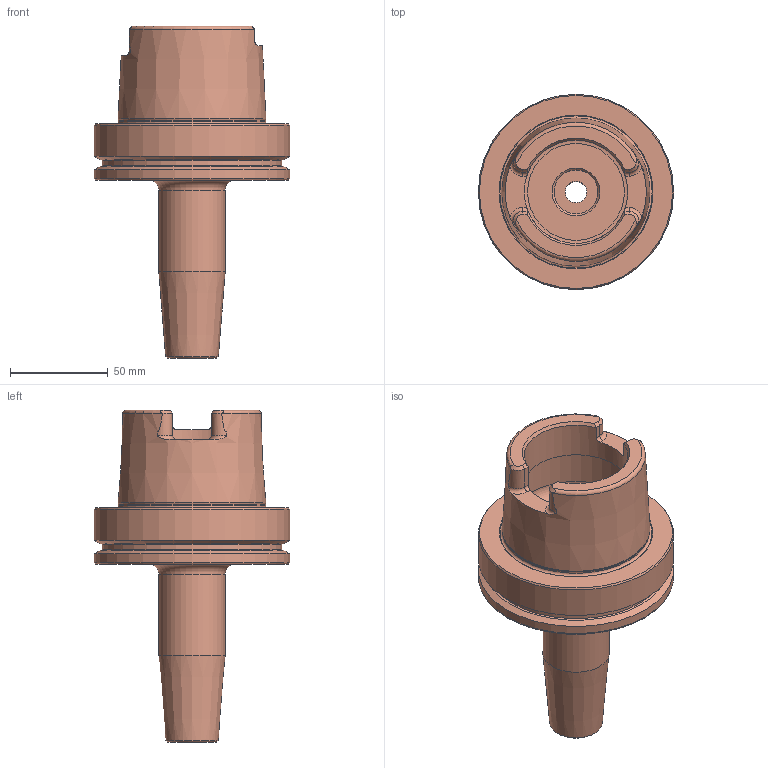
import cadquery as cq
import math


flange_diameter = 100.0
flange_thickness = 29.0
flange_chamfer_height = 0.9
flange_chamfer_depth = 0.55
groove_diameter = 92.0
groove_center_z = -20.2
groove_floor_width = 2.8
groove_ledge_width = 3.4
groove_ledge_diameter = 94.0
groove_wall_angle = 30.0

taper_length = 50.0
taper_gauge_diameter = 75.0
taper_gauge_z = 10.0
taper_diameter_per_length = 0.1
taper_start_z = 2.4
neck_diameter = 75.36
neck_top_z = 1.7
neck_fillet = 1.3
face_relief_depth = 0.3
face_relief_run_out = 0.4
rim_fillet = 1.75

mouth_diameter = 53.0
mouth_chamfer_width = 1.0
mouth_chamfer_height = 1.6
mouth_length = 20.1
clamp_diameter = 63.0
clamp_cone_angle = 60.0
cavity_floor_z = 3.0
cavity_floor_fillet = 6.7

tube_hole_diameter = 22.5
tube_hole_depth = 20.0
tube_hole_chamfer = 1.0
bore_diameter = 11.0

nose_length = 120.0
nose_diameter = 34.0
nose_root_fillet = 5.0
nose_cone_start_z = -75.7
nose_tip_diameter = 27.0
nose_tip_chamfer = 0.7

slot_width = 20.0
slot_deep = 15.0
slot_shallow = 10.0
slot_shoulder_x = 32.2
slot_corner_radius = 5.0
slot_floor_fillet = 2.0
slot_rim_chamfer_height = 1.6
slot_rim_chamfer_width = 1.5

ARC_MID_REACH = math.sqrt(0.5)
ARC_MID_OFFSET = 1 - ARC_MID_REACH


def taper_radius(z):
    """Radius of the shank taper at height z."""
    return (taper_gauge_diameter - (z - taper_gauge_z) * taper_diameter_per_length) / 2


def make_body():
    """Revolved outside shape: taper shank, flange and tool nose."""
    flange_r = flange_diameter / 2
    groove_r = groove_diameter / 2
    ledge_r = groove_ledge_diameter / 2
    rim_r = taper_radius(taper_length)
    rim_inset = rim_fillet * ARC_MID_OFFSET
    neck_r = neck_diameter / 2
    neck_inset = neck_fillet * ARC_MID_OFFSET
    nose_r = nose_diameter / 2
    root_inset = nose_root_fillet * ARC_MID_OFFSET
    tip_r = nose_tip_diameter / 2
    flange_bottom = -flange_thickness
    half_floor = groove_floor_width / 2
    half_ledge = groove_ledge_width / 2
    half_mouth = half_ledge + (flange_r - ledge_r) * math.tan(math.radians(groove_wall_angle))
    profile = (
        cq.Workplane("XZ")
        .moveTo(0, taper_length)
        .lineTo(rim_r - rim_fillet, taper_length)
        .threePointArc(
            (rim_r - rim_inset, taper_length - rim_inset),
            (taper_radius(taper_length - rim_fillet), taper_length - rim_fillet),
        )
        .lineTo(taper_radius(taper_start_z), taper_start_z)
        .lineTo(neck_r, neck_top_z)
        .lineTo(neck_r, neck_fillet - face_relief_depth)
        .threePointArc(
            (neck_r + neck_inset, neck_inset - face_relief_depth),
            (neck_r + neck_fillet, -face_relief_depth),
        )
        .lineTo(neck_r + neck_fillet + face_relief_run_out, 0)
        .lineTo(flange_r - flange_chamfer_depth, 0)
        .lineTo(flange_r, -flange_chamfer_height)
        .lineTo(flange_r, groove_center_z + half_mouth)
        .lineTo(ledge_r, groove_center_z + half_ledge)
        .lineTo(groove_r, groove_center_z + half_floor)
        .lineTo(groove_r, groove_center_z - half_floor)
        .lineTo(ledge_r, groove_center_z - half_ledge)
        .lineTo(flange_r, groove_center_z - half_mouth)
        .lineTo(flange_r, flange_bottom + flange_chamfer_height)
        .lineTo(flange_r - flange_chamfer_depth, flange_bottom)
        .lineTo(nose_r + nose_root_fillet, flange_bottom)
        .threePointArc(
            (nose_r + root_inset, flange_bottom - root_inset),
            (nose_r, flange_bottom - nose_root_fillet),
        )
        .lineTo(nose_r, nose_cone_start_z)
        .lineTo(tip_r, nose_tip_chamfer - nose_length)
        .lineTo(tip_r - nose_tip_chamfer, -nose_length)
        .lineTo(0, -nose_length)
        .close()
    )
    return profile.revolve(360, (0, 0), (0, 1))


def make_cavity():
    """Revolved inside shape: clamping cavity, coolant tube hole and through bore."""
    mouth_r = mouth_diameter / 2
    clamp_r = clamp_diameter / 2
    floor_inset = cavity_floor_fillet * ARC_MID_OFFSET
    tube_r = tube_hole_diameter / 2
    bore_r = bore_diameter / 2
    lip_z = taper_length - mouth_length
    cone_bottom_z = lip_z - (clamp_r - mouth_r) / math.tan(math.radians(clamp_cone_angle))
    tube_floor_z = cavity_floor_z - tube_hole_depth
    profile = (
        cq.Workplane("XZ")
        .moveTo(0, taper_length)
        .lineTo(mouth_r + mouth_chamfer_width, taper_length)
        .lineTo(mouth_r, taper_length - mouth_chamfer_height)
        .lineTo(mouth_r, lip_z)
        .lineTo(clamp_r, cone_bottom_z)
        .lineTo(clamp_r, cavity_floor_z + cavity_floor_fillet)
        .threePointArc(
            (clamp_r - floor_inset, cavity_floor_z + floor_inset),
            (clamp_r - cavity_floor_fillet, cavity_floor_z),
        )
        .lineTo(tube_r + tube_hole_chamfer, cavity_floor_z)
        .lineTo(tube_r, cavity_floor_z - tube_hole_chamfer)
        .lineTo(tube_r, tube_floor_z)
        .lineTo(bore_r, tube_floor_z)
        .lineTo(bore_r, -nose_length)
        .lineTo(0, -nose_length)
        .close()
    )
    return profile.revolve(360, (0, 0), (0, 1))


def slot_outline(z):
    """Keyway open toward +X; its walls end in round shoulders that run out through the taper."""
    half = slot_width / 2
    reach = flange_diameter / 2
    center_x = slot_shoulder_x - slot_corner_radius
    center_y = half + slot_corner_radius
    center_distance = math.hypot(center_x, center_y)
    arc_end_scale = 1 + slot_corner_radius / center_distance
    arc_end_x = center_x * arc_end_scale
    arc_end_y = center_y * arc_end_scale
    mid_x = center_x + slot_corner_radius * ARC_MID_REACH
    mid_y = center_y - slot_corner_radius * ARC_MID_REACH
    reach_y = reach * center_y / center_x
    return (
        cq.Workplane("XY", origin=(0, 0, z))
        .moveTo(0, -half)
        .lineTo(center_x, -half)
        .threePointArc((mid_x, -mid_y), (arc_end_x, -arc_end_y))
        .lineTo(reach, -reach_y)
        .lineTo(reach, reach_y)
        .lineTo(arc_end_x, arc_end_y)
        .threePointArc((mid_x, mid_y), (center_x, half))
        .lineTo(0, half)
        .close()
    )


def make_slot(depth):
    """Drive slot cutter toward +X with a rounded floor and a flared rim."""
    cutter = slot_outline(taper_length - depth).extrude(depth)
    cutter = cutter.faces("<Z").edges().fillet(slot_floor_fillet)
    flare_angle = math.degrees(math.atan2(slot_rim_chamfer_width, slot_rim_chamfer_height))
    flare = slot_outline(taper_length - slot_rim_chamfer_height)
    flare = flare.extrude(slot_rim_chamfer_height, taper=-flare_angle)
    return cutter.union(flare)


result = make_body().cut(make_cavity())
result = result.cut(make_slot(slot_shallow))
result = result.cut(make_slot(slot_deep).rotate((0, 0, 0), (0, 0, 1), 180))